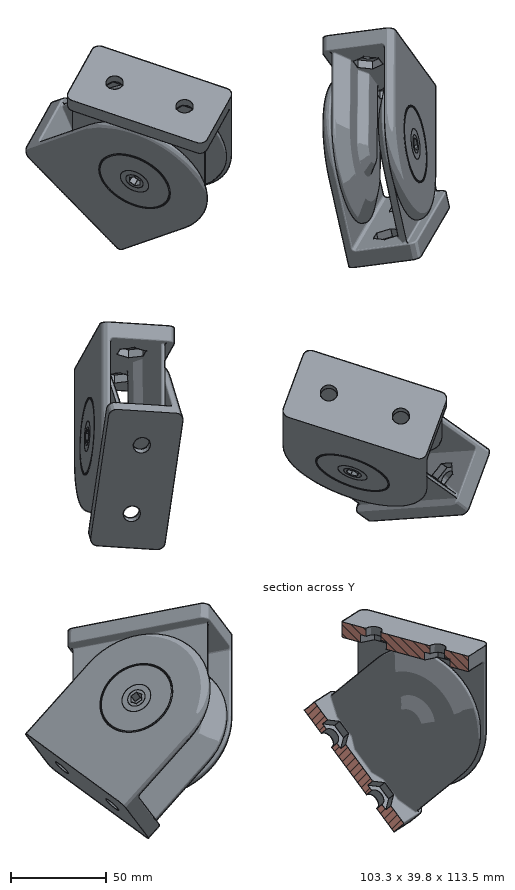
import cadquery as cq
import math


half_width = 39.8
half_depth = half_width / 2
pivot_height = 50.0
base_thickness = 9.2
floor_z = base_thickness - pivot_height
cheek_thickness = 5.2
cheek_inner_y = half_depth - cheek_thickness
outer_fillet = 4.2
inner_edge_fillet = 0.9
cheek_root_fillet = 1.8
joint_angle = 45.0

hole_spacing = 40.0
hole_diameter = 9.0
nut_across_flats = 13.8
nut_pocket_depth = 4.4
root_trim = 1.0

leg_clearance = 0.2
leg_outer_y = cheek_inner_y - leg_clearance
rim_radius = 37.8
leg_profile = [
    (rim_radius, leg_outer_y),
    (rim_radius, 12.8),
    (27.0, 7.8),
    (14.0, 7.8),
    (7.5, 3.6),
]
leg_draft = 0.5
drafted_from = 2
leg_step_fillet = 1.0
leg_root_fillet = 0.9
leg_root_overlap = 2.0

hub_radius = 20.2
hub_bore_clearance = 0.3
hub_chamfer = 0.5
bushing_radius = 8.1
bushing_length = cheek_thickness
screw_radius = 4.9
screw_length = 12.0
socket_across_flats = 6.0
socket_depth = 6.0

select_margin = 0.1


def hexagon_diameter(across_flats):
    """Diameter of the circle through the corners of a hexagon."""
    return across_flats / math.cos(math.pi / 6)


def cylinder_y(radius, y_start, y_end):
    """Cylinder on the pivot axis between two Y positions."""
    disc = cq.Workplane("XZ", origin=(0, y_start, 0)).circle(radius)
    return disc.extrude(y_start - y_end)


def make_shell():
    """Base and cheek in one piece, an L seen from the side."""
    shell = (
        cq.Workplane("XZ", origin=(0, half_depth, 0))
        .moveTo(-half_width, -pivot_height)
        .lineTo(-half_width, 0)
        .threePointArc((0, half_width), (half_width, 0))
        .lineTo(half_width, -pivot_height)
        .close()
        .extrude(2 * half_depth)
    )
    open_height = half_width - floor_z
    open_space = (
        cq.Workplane("XY", origin=(0, half_depth, floor_z))
        .rect(4 * half_width, 2 * (half_depth + cheek_inner_y))
        .extrude(2 * open_height)
    )
    shell = shell.cut(open_space)

    shell = shell.faces("<Y").edges("not <Z").fillet(outer_fillet)
    shell = shell.faces(">Y").edges("|Z").fillet(outer_fillet)

    corner_box = cq.selectors.BoxSelector(
        (-half_width, -cheek_inner_y - select_margin, floor_z - select_margin),
        (half_width, -cheek_inner_y + select_margin, floor_z + select_margin),
    )
    shell = shell.edges("|X").edges(corner_box).fillet(cheek_root_fillet)

    floor_point = (0, 0, floor_z)
    floor_rim = shell.faces(cq.selectors.NearestToPointSelector(floor_point)).edges("<X")
    return shell.newObject(floor_rim.vals()).fillet(inner_edge_fillet)


def rounded_leg_outline(points):
    """Closed outline through the points, rounded at all corners of the leg's inner steps."""
    outline = cq.Wire.makePolygon([cq.Vector(x, y) for x, y in points], close=True)
    step_corners = [
        corner for corner in outline.Vertices()
        if corner.Y < leg_outer_y - leg_step_fillet / 2 and abs(corner.X) > leg_step_fillet
    ]
    return outline.fillet2D(leg_step_fillet, step_corners)


def leg_section(draft):
    """Full-width outline of the leg in X and Y, with the inner steps moved by the draft."""
    right = []
    for index, (half_size, y) in enumerate(leg_profile):
        shift = draft if index >= drafted_from else 0
        right.append((half_size, y - shift))
    left = [(-x, y) for x, y in reversed(right)]
    return rounded_leg_outline(right + left)


def make_leg():
    """Stepped cone round the pivot, carried down to the base with the same steps."""
    inner_y = leg_profile[-1][1]
    half_outline = rounded_leg_outline([(0, leg_outer_y)] + leg_profile + [(0, inner_y)])
    cone = cq.Solid.revolve(half_outline, [], 360, cq.Vector(0, 0, 0), cq.Vector(0, 1, 0))
    root_z = floor_z - leg_root_overlap
    root_section = leg_section(leg_draft).translate(cq.Vector(0, 0, root_z))
    wall = cq.Solid.makeLoft([leg_section(0), root_section], True)
    return cq.Workplane(cone).union(cq.Workplane(wall))


def make_bracket():
    """Bracket with base, cheek, leg and the hub that turns in the other bracket's cheek."""
    bracket = make_shell().union(make_leg())
    root_box = cq.selectors.BoxSelector(
        (-rim_radius - select_margin, 0, floor_z - select_margin),
        (rim_radius + select_margin, leg_outer_y + select_margin, floor_z + select_margin),
        boundingbox=True,
    )
    bracket = bracket.edges(root_box).fillet(leg_root_fillet)

    hub = cylinder_y(hub_radius, leg_outer_y, half_depth).faces(">Y").chamfer(hub_chamfer)
    bracket = bracket.union(hub)
    bracket = bracket.cut(cylinder_y(hub_radius + hub_bore_clearance, -half_depth, -cheek_inner_y))

    for x in (-hole_spacing / 2, hole_spacing / 2):
        hole = cq.Workplane("XY", origin=(x, 0, -pivot_height)).circle(hole_diameter / 2)
        bracket = bracket.cut(hole.extrude(base_thickness))
        pocket = (
            cq.Workplane("XY", origin=(x, 0, floor_z - nut_pocket_depth))
            .polygon(6, hexagon_diameter(nut_across_flats))
            .extrude(nut_pocket_depth + root_trim)
        )
        bracket = bracket.cut(pocket)

    bracket = bracket.cut(cylinder_y(bushing_radius, half_depth, half_depth - bushing_length))
    return bracket.cut(cylinder_y(screw_radius, half_depth, half_depth - screw_length))


def make_bushing():
    """Ring let into the outer face of the hub."""
    inner_y = half_depth - bushing_length
    return cylinder_y(bushing_radius, half_depth, inner_y).cut(cylinder_y(screw_radius, half_depth, inner_y))


def make_screw():
    """Flush headless screw with a hexagon socket, two of its corners pointing along Z."""
    socket = (
        cq.Workplane("XZ", origin=(0, half_depth, 0))
        .transformed(rotate=(0, 0, 90))
        .polygon(6, hexagon_diameter(socket_across_flats))
        .extrude(socket_depth)
    )
    return cylinder_y(screw_radius, half_depth, half_depth - screw_length).cut(socket)


def place_lower(body):
    """Turn a body about the pivot so that the base points down and towards -X."""
    return body.rotate((0, 0, 0), (0, 1, 0), joint_angle)


def place_upper(body):
    """Turn a body upside down so that the base is on top and the cheek on +Y."""
    return body.rotate((0, 0, 0), (1, 0, 0), 180)


bodies = []
for make_body in (make_bracket, make_bushing, make_screw):
    for place in (place_lower, place_upper):
        placed = place(make_body())
        bodies.append(placed.val())

result = cq.Compound.makeCompound(bodies)